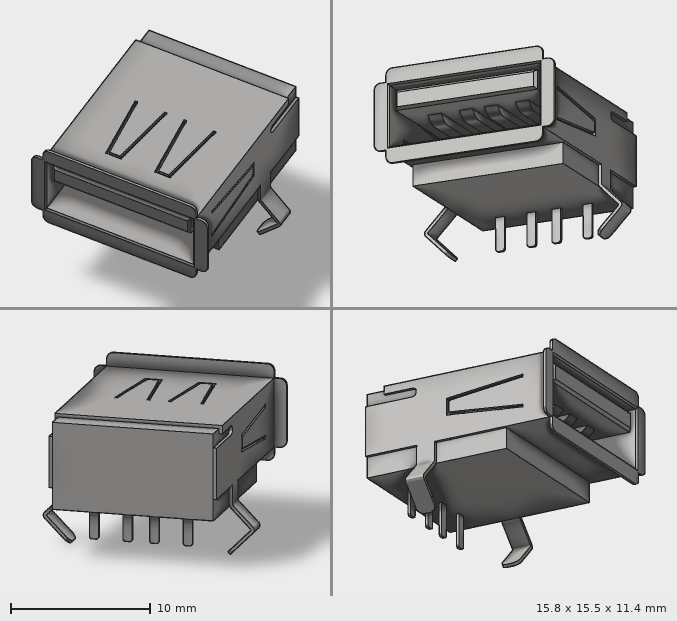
import cadquery as cq
import math


SHELL_WIDTH = 12.5
SHELL_HEIGHT = 5.12
LENGTH = 15.47
WALL = 0.25
INNER_WIDTH = SHELL_WIDTH - 2 * WALL
INNER_HEIGHT = SHELL_HEIGHT - 2 * WALL
MOUTH_CHAMFER = 0.13
MOUTH_CHAMFER_ANGLE = 45

FLANGE_THICKNESS = 0.2
SIDE_TAB_REACH = 0.93
UPRIGHT_TAB_REACH = 1.02
TAB_RADIUS = 0.5

FINGER_SLOT = 0.2
TOP_FINGER_SPACING = 4.0
TOP_FINGER_TIP_Y = 2.77
TOP_FINGER_ROOT_Y = 8.44
TOP_FINGER_TIP_WIDTH = 1.26
TOP_FINGER_ROOT_WIDTH = 2.61
SIDE_FINGER_TIP_Y = 8.75
SIDE_FINGER_ROOT_Y = 2.45
SIDE_FINGER_TIP_WIDTH = 1.29
SIDE_FINGER_ROOT_WIDTH = 2.54
SIDE_FINGER_Z = 2.49

REAR_SLOT_LENGTH = 4.2
REAR_SLOT_HEIGHT = 0.68
REAR_SLOT_Z = 4.16
TOP_SETBACK = 1.55

LEG_WIDTH = 1.5
LEG_Y = 10.47
LEG_REACH = 7.88
LEG_KNEE_DEPTH = 1.5
LEG_BOTTOM_DEPTH = 5.29
KNEE_ANGLE = math.radians(45)
KNEE_RADIUS = 0.25
ELBOW_RADIUS = 0.3
LEG_TIP_RADIUS = 0.55

CAVITY_DEPTH = 8.55
BASE_DEPTH = 1.6
BASE_FRONT_Y = 3.94
TONGUE_WIDTH = 11.3
TONGUE_BOTTOM_Z = 3.01
TONGUE_HEIGHT = 1.51
TONGUE_FRONT_Y = 0.2
TONGUE_CHAMFER = 0.2

CONTACT_XS = [-3.5, -1.0, 1.0, 3.5]
CONTACT_WIDTH = 1.04
CONTACT_DROP = 0.6
CONTACT_RADIUS = 1.01
CONTACT_FRONT_Y = 2.36
PIN_WIDTH = 0.7
PIN_THICKNESS = 0.2
PIN_Y = 13.21
PIN_BOTTOM_DEPTH = 4.19
PIN_TIP_RADIUS = 0.2


def box(width, y_start, y_end, z_start, z_end):
    """Box centred on X = 0."""
    block = cq.Workplane("XY").box(width, y_end - y_start, z_end - z_start, centered=(True, False, False))
    return block.translate((0, y_start, z_start))


def finger_slot(tip_y, root_y, tip_width, root_width):
    """Closed U outline around a finger pointing along Y; the first coordinate runs across the finger."""
    inset = math.copysign(FINGER_SLOT, root_y - tip_y)
    tip = tip_width / 2
    root = root_width / 2
    return [
        (-root, root_y),
        (-tip, tip_y),
        (tip, tip_y),
        (root, root_y),
        (root - FINGER_SLOT, root_y),
        (tip - FINGER_SLOT, tip_y + inset),
        (FINGER_SLOT - tip, tip_y + inset),
        (FINGER_SLOT - root, root_y),
    ]


def make_flange():
    side_tabs = box(SHELL_WIDTH + 2 * SIDE_TAB_REACH, 0, FLANGE_THICKNESS, 0, SHELL_HEIGHT)
    tabs_top_z = SHELL_HEIGHT + UPRIGHT_TAB_REACH
    upright_tabs = box(SHELL_WIDTH, 0, FLANGE_THICKNESS, -UPRIGHT_TAB_REACH, tabs_top_z)
    side_tabs = side_tabs.edges("|Y").fillet(TAB_RADIUS)
    upright_tabs = upright_tabs.edges("|Y").fillet(TAB_RADIUS)
    return side_tabs.union(upright_tabs)


def make_leg():
    """Leg on the +X side: down from the side wall, out at 45 degrees, then back in at 45 degrees."""
    outer_x = SHELL_WIDTH / 2
    elbow_x = LEG_REACH + ELBOW_RADIUS * (math.sqrt(2) - 1)
    elbow_depth = LEG_KNEE_DEPTH + elbow_x - outer_x
    tip_x = elbow_x - (LEG_BOTTOM_DEPTH - elbow_depth)
    inner_knee_depth = LEG_KNEE_DEPTH + WALL * math.tan(KNEE_ANGLE / 2)
    inner_elbow_x = elbow_x - WALL * math.sqrt(2)
    tip_step = WALL / math.sqrt(2)
    leg = (
        cq.Workplane("XZ", origin=(0, LEG_Y, 0))
        .polyline(
            [
                (outer_x, WALL),
                (outer_x, -LEG_KNEE_DEPTH),
                (elbow_x, -elbow_depth),
                (tip_x, -LEG_BOTTOM_DEPTH),
                (tip_x - tip_step, tip_step - LEG_BOTTOM_DEPTH),
                (inner_elbow_x, -elbow_depth),
                (outer_x - WALL, -inner_knee_depth),
                (outer_x - WALL, WALL),
            ]
        )
        .close()
        .extrude(LEG_WIDTH / 2, both=True)
    )
    bends = [
        (outer_x, LEG_KNEE_DEPTH, KNEE_RADIUS),
        (outer_x - WALL, inner_knee_depth, KNEE_RADIUS + WALL),
        (elbow_x, elbow_depth, ELBOW_RADIUS),
        (inner_elbow_x, elbow_depth, ELBOW_RADIUS - WALL),
    ]
    for x, depth, radius in bends:
        leg = leg.edges(cq.selectors.NearestToPointSelector((x, LEG_Y, -depth))).fillet(radius)
    return leg.faces("<Z").edges("not |Y").fillet(LEG_TIP_RADIUS)


def make_shell():
    shell = box(SHELL_WIDTH, 0, LENGTH, 0, SHELL_HEIGHT).union(make_flange())
    shell = shell.cut(box(INNER_WIDTH, 0, LENGTH, WALL, SHELL_HEIGHT - WALL))
    mouth = (
        cq.Workplane("XZ", origin=(0, 0, SHELL_HEIGHT / 2))
        .rect(INNER_WIDTH + 2 * MOUTH_CHAMFER, INNER_HEIGHT + 2 * MOUTH_CHAMFER)
        .extrude(-MOUTH_CHAMFER, taper=MOUTH_CHAMFER_ANGLE)
    )
    shell = shell.cut(mouth)

    shell = shell.cut(box(INNER_WIDTH, CAVITY_DEPTH, LENGTH, 0, WALL))

    slot_end_y = LENGTH - REAR_SLOT_LENGTH + REAR_SLOT_HEIGHT / 2
    slot_bottom_z = REAR_SLOT_Z - REAR_SLOT_HEIGHT / 2
    slot_top_z = REAR_SLOT_Z + REAR_SLOT_HEIGHT / 2
    slot_end = (
        cq.Workplane("YZ")
        .center(slot_end_y, REAR_SLOT_Z)
        .circle(REAR_SLOT_HEIGHT / 2)
        .extrude(SHELL_WIDTH / 2, both=True)
    )
    shell = shell.cut(slot_end)
    shell = shell.cut(box(SHELL_WIDTH, slot_end_y, LENGTH, slot_bottom_z, slot_top_z))
    shell = shell.cut(box(SHELL_WIDTH, LENGTH - TOP_SETBACK, LENGTH, slot_top_z, SHELL_HEIGHT))

    top_slot = finger_slot(TOP_FINGER_TIP_Y, TOP_FINGER_ROOT_Y, TOP_FINGER_TIP_WIDTH, TOP_FINGER_ROOT_WIDTH)
    for x in (-TOP_FINGER_SPACING / 2, TOP_FINGER_SPACING / 2):
        cutter = cq.Workplane("XY", origin=(x, 0, SHELL_HEIGHT)).polyline(top_slot).close().extrude(-WALL)
        shell = shell.cut(cutter)

    side_slot = finger_slot(
        SIDE_FINGER_TIP_Y, SIDE_FINGER_ROOT_Y, SIDE_FINGER_TIP_WIDTH, SIDE_FINGER_ROOT_WIDTH
    )
    side_outline = [(y, across) for across, y in side_slot]
    cutter = cq.Workplane("YZ", origin=(0, 0, SIDE_FINGER_Z)).polyline(side_outline).close()
    shell = shell.cut(cutter.extrude(SHELL_WIDTH / 2, both=True))

    leg = make_leg()
    return shell.union(leg).union(leg.mirror("YZ"))


def make_contact(x):
    """Strip along the underside of the tongue, with a 45-degree lead-in that curves into its flat face."""
    crest_y = CONTACT_FRONT_Y + CONTACT_DROP
    strip = (
        cq.Workplane("YZ", origin=(x, 0, TONGUE_BOTTOM_Z))
        .polyline(
            [
                (CONTACT_FRONT_Y, 0),
                (crest_y, -CONTACT_DROP),
                (CAVITY_DEPTH, -CONTACT_DROP),
                (CAVITY_DEPTH, 0),
            ]
        )
        .close()
        .extrude(CONTACT_WIDTH / 2, both=True)
    )
    crest = cq.selectors.NearestToPointSelector((x, crest_y, TONGUE_BOTTOM_Z - CONTACT_DROP))
    return strip.edges(crest).fillet(CONTACT_RADIUS)


def make_pin(x):
    pin = box(PIN_WIDTH, PIN_Y - PIN_THICKNESS / 2, PIN_Y + PIN_THICKNESS / 2, -PIN_BOTTOM_DEPTH, -BASE_DEPTH)
    return pin.faces("<Z").edges("|Y").fillet(PIN_TIP_RADIUS).translate((x, 0, 0))


def make_insulator():
    base = box(INNER_WIDTH, BASE_FRONT_Y, LENGTH, -BASE_DEPTH, 0)
    rear_block = box(INNER_WIDTH, CAVITY_DEPTH, LENGTH, 0, SHELL_HEIGHT - WALL)
    tongue = box(TONGUE_WIDTH, TONGUE_FRONT_Y, CAVITY_DEPTH, TONGUE_BOTTOM_Z, TONGUE_BOTTOM_Z + TONGUE_HEIGHT)
    tongue = tongue.faces("<Y").chamfer(TONGUE_CHAMFER)
    insulator = base.union(rear_block).union(tongue)
    for x in CONTACT_XS:
        insulator = insulator.union(make_contact(x)).union(make_pin(x))
    return insulator


shell = make_shell()
insulator = make_insulator()
result = cq.Compound.makeCompound([shell.val(), insulator.val()])